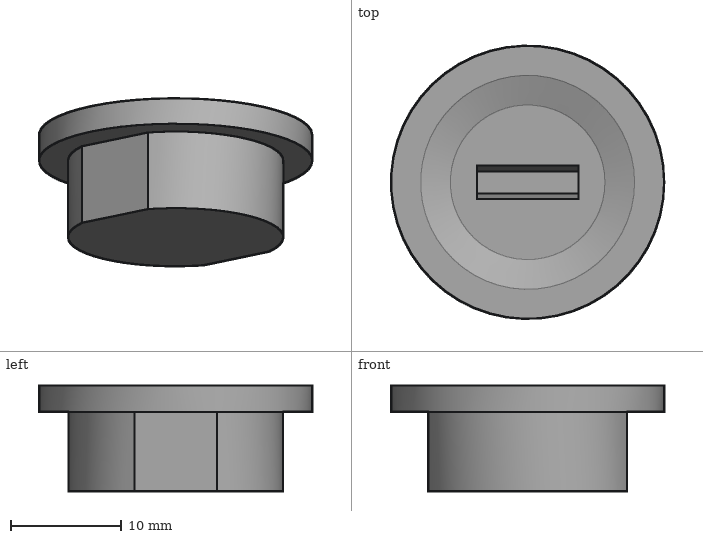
import cadquery as cq
import math

total_height = 9.6
flange_diameter = 24.75
flange_thickness = 2.4

body_diameter = 19.5
width_across_flats = 18.0

dish_floor_diameter = 14.0
dish_top_diameter = (flange_diameter + dish_floor_diameter) / 2
dish_depth = 0.8

slot_length = 9.2
slot_mouth_width = 3.05
slot_depth = 3.0
slot_wall_angle = 10.0

body_height = total_height - flange_thickness
dish_floor_z = total_height - dish_depth


def make_body():
    cylinder = cq.Workplane("XY").circle(body_diameter / 2).extrude(body_height)
    between_flats = cq.Workplane("XY").rect(width_across_flats, body_diameter).extrude(body_height)
    return cylinder.intersect(between_flats)


def make_flange():
    return (
        cq.Workplane("XY")
        .workplane(offset=body_height)
        .circle(flange_diameter / 2)
        .extrude(flange_thickness)
    )


def make_dish_cut():
    return (
        cq.Workplane("XY")
        .workplane(offset=dish_floor_z)
        .circle(dish_floor_diameter / 2)
        .workplane(offset=dish_depth)
        .circle(dish_top_diameter / 2)
        .loft(ruled=True)
    )


def make_slot_cut():
    half_mouth = slot_mouth_width / 2
    half_floor = half_mouth - slot_depth * math.tan(math.radians(slot_wall_angle))
    slot_floor_z = dish_floor_z - slot_depth
    cross_section = [
        (-half_mouth, dish_floor_z),
        (-half_floor, slot_floor_z),
        (half_floor, slot_floor_z),
        (half_mouth, dish_floor_z),
    ]
    return cq.Workplane("YZ").polyline(cross_section).close().extrude(slot_length / 2, both=True)


result = make_body().union(make_flange()).cut(make_dish_cut()).cut(make_slot_cut())